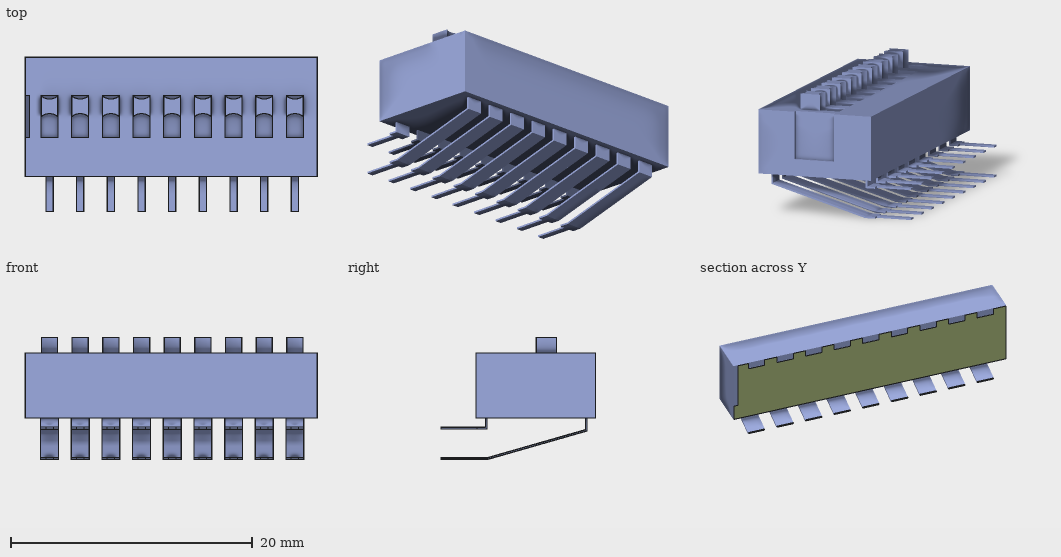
import cadquery as cq
import math

BODY_X = 24.22
BODY_Y = 9.9
BODY_Z = 5.4
BACK_Y = BODY_Y / 2
FRONT_Y = -BODY_Y / 2

SWITCH_COUNT = 9
SWITCH_PITCH = 2.54
ROW_CENTER_X = 0.08

WINDOW_X = 1.41
WINDOW_Y = 3.48
WINDOW_DEPTH = 0.55
WINDOW_BACK_Y = BACK_Y - 3.17
WINDOW_CENTER_Y = WINDOW_BACK_Y - WINDOW_Y / 2

END_RECESS_X = 0.37
END_RECESS_DEPTH = 4.0

SLIDER_X = 1.36
SLIDER_Y = 1.69
SLIDER_RISE = 1.3
SLIDER_BACK_GAP = 0.06
GRIP_DEPTH = 0.24

TOTAL_Z = 10.12
LEAD_THICKNESS = 0.15
LEAD_X = 1.5
TIP_X = 0.62
TIP_REACH = 2.9
SHOULDER_Y = FRONT_Y + 0.1
TIP_END_Y = FRONT_Y - TIP_REACH

BACK_LEAD_Y = BACK_Y - 0.69
BACK_LEAD_DROP = 1.06
BACK_LEAD_BOTTOM = BODY_Z + SLIDER_RISE - TOTAL_Z
BACK_LEAD_BEND_Y = FRONT_Y + 0.97

FRONT_LEAD_Y = FRONT_Y + 0.92
FRONT_LEAD_BOTTOM = -0.9


def switch_positions():
    first_x = ROW_CENTER_X - SWITCH_PITCH * (SWITCH_COUNT - 1) / 2
    return [first_x + index * SWITCH_PITCH for index in range(SWITCH_COUNT)]


def make_housing():
    housing = cq.Workplane("XY").box(BODY_X, BODY_Y, BODY_Z, centered=(True, True, False))
    windows = (
        cq.Workplane("XY", origin=(0, 0, BODY_Z - WINDOW_DEPTH))
        .pushPoints([(x, WINDOW_CENTER_Y) for x in switch_positions()])
        .rect(WINDOW_X, WINDOW_Y)
        .extrude(WINDOW_DEPTH)
    )
    end_recess = cq.Workplane("XY").box(
        END_RECESS_X, WINDOW_Y, END_RECESS_DEPTH, centered=(False, True, False)
    ).translate((-BODY_X / 2, WINDOW_CENTER_Y, BODY_Z - END_RECESS_DEPTH))
    return housing.cut(windows).cut(end_recess)


def make_slider(x):
    left = x - SLIDER_X / 2
    right = x + SLIDER_X / 2
    back = WINDOW_BACK_Y - SLIDER_BACK_GAP
    front = back - SLIDER_Y
    return (
        cq.Workplane("XY", origin=(0, 0, BODY_Z - WINDOW_DEPTH))
        .moveTo(left, front)
        .threePointArc((x, front + GRIP_DEPTH), (right, front))
        .lineTo(right, back)
        .threePointArc((x, back - GRIP_DEPTH), (left, back))
        .close()
        .extrude(WINDOW_DEPTH + SLIDER_RISE)
    )


def offset_path(path, distance):
    """Shift a (Y, Z) path sideways to the right of its travel, with mitred corners."""
    headings = [math.atan2(b[1] - a[1], b[0] - a[0]) for a, b in zip(path, path[1:])]
    before = headings[:1] + headings
    after = headings + headings[-1:]
    shifted = []
    for (y, z), heading_in, heading_out in zip(path, before, after):
        half_turn = math.remainder(heading_out - heading_in, 2 * math.pi) / 2
        normal = heading_in + half_turn - math.pi / 2
        reach = distance / math.cos(half_turn)
        shifted.append((y + reach * math.cos(normal), z + reach * math.sin(normal)))
    return shifted


def make_lead(x, lower_path):
    """Bent strip above lower_path, followed by a narrow tip running on to TIP_END_Y."""
    shoulder_y, bottom_z = lower_path[-1]
    outline = lower_path + offset_path(lower_path, LEAD_THICKNESS)[::-1]
    strip = (
        cq.Workplane("YZ", origin=(x, 0, 0))
        .polyline(outline)
        .close()
        .extrude(LEAD_X / 2, both=True)
    )
    tip = cq.Workplane("XY").box(
        TIP_X, shoulder_y - TIP_END_Y, LEAD_THICKNESS, centered=(True, False, False)
    ).translate((x, TIP_END_Y, bottom_z))
    return strip.union(tip)


back_lead_path = [
    (BACK_LEAD_Y, 0),
    (BACK_LEAD_Y, -BACK_LEAD_DROP),
    (BACK_LEAD_BEND_Y, BACK_LEAD_BOTTOM),
    (SHOULDER_Y, BACK_LEAD_BOTTOM),
]
front_lead_path = [
    (FRONT_LEAD_Y, 0),
    (FRONT_LEAD_Y, FRONT_LEAD_BOTTOM),
    (SHOULDER_Y, FRONT_LEAD_BOTTOM),
]

result = make_housing()
for switch_x in switch_positions():
    result = result.union(make_slider(switch_x))
    result = result.union(make_lead(switch_x, back_lead_path))
    result = result.union(make_lead(switch_x, front_lead_path))